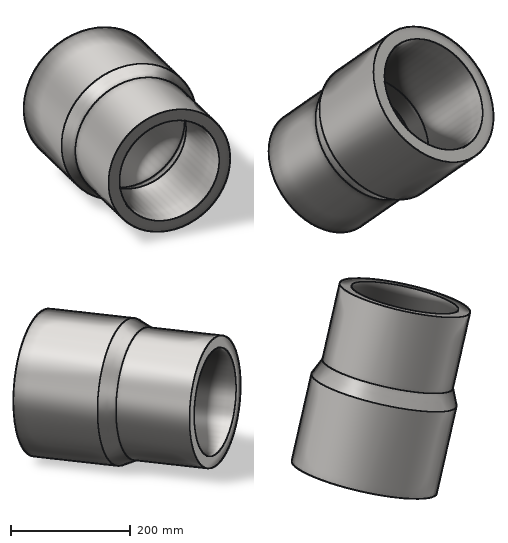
import cadquery as cq

total_length = 315.0
wide_length = 153.0
taper_length = 28.5
wide_outer_diameter = 250.0
wide_bore_diameter = 204.5
narrow_outer_diameter = 225.0
narrow_bore_diameter = 184.0

taper_end = wide_length + taper_length


def stepped_cone(wide_diameter, narrow_diameter):
    """Solid of revolution about X: wide cylinder, cone, narrow cylinder."""
    profile = (
        cq.Workplane("XY")
        .moveTo(0, 0)
        .lineTo(0, wide_diameter / 2)
        .lineTo(wide_length, wide_diameter / 2)
        .lineTo(taper_end, narrow_diameter / 2)
        .lineTo(total_length, narrow_diameter / 2)
        .lineTo(total_length, 0)
        .close()
    )
    return profile.revolve(360, (0, 0, 0), (1, 0, 0))


body = stepped_cone(wide_outer_diameter, narrow_outer_diameter)
bore = stepped_cone(wide_bore_diameter, narrow_bore_diameter)

result = body.cut(bore)